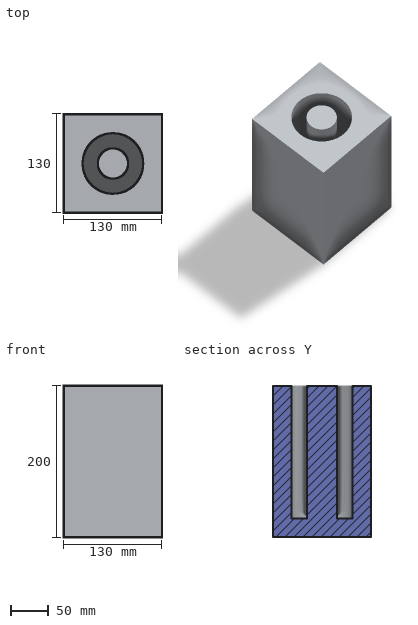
import cadquery as cq

block_side = 130
block_height = 200

pocket_diameter = 80
core_diameter = pocket_diameter / 2

wall_thickness = (block_side - pocket_diameter) / 2
floor_thickness = wall_thickness
pocket_depth = block_height - floor_thickness


def make_block():
    return cq.Workplane("XY").rect(block_side, block_side).extrude(block_height)


def make_ring_pocket():
    return (
        cq.Workplane("XY")
        .workplane(offset=floor_thickness)
        .circle(pocket_diameter / 2)
        .circle(core_diameter / 2)
        .extrude(pocket_depth)
    )


result = make_block().cut(make_ring_pocket())